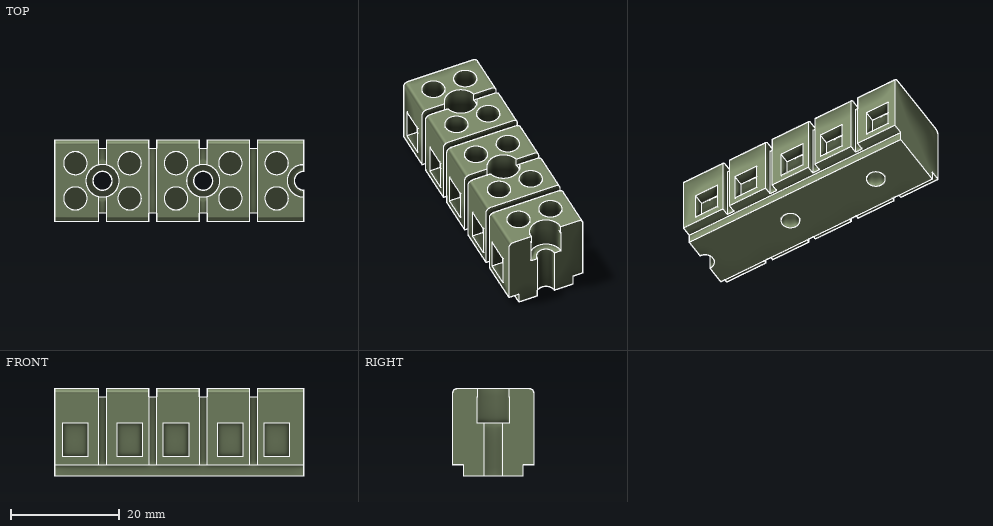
import cadquery as cq
import math

LENGTH = 45.75
WIDTH = 15.0
HEIGHT = 16.1
TOP_EDGE_RADIUS = 0.95

TONGUE_HEIGHT = 2.05
TONGUE_WIDTH = 10.98

POLE_PITCH = 9.25
GROOVE_COUNT = 4
FIRST_BOUNDARY = LENGTH - GROOVE_COUNT * POLE_PITCH
GROOVE_WIDTH = 1.4
GROOVE_DEPTH = 1.55

MOUNT_PITCH = 2 * POLE_PITCH
MOUNT_COUNT = 3
MOUNT_DIAMETER = 3.45
COUNTERBORE_DIAMETER = 6.05

POCKET_WIDTH = 4.7
POCKET_HEIGHT = 6.2
POCKET_BOTTOM = 3.55
POCKET_DEPTH = 2.1

WELL_DIAMETER = 4.25
WELL_SPACING_Y = 6.45
WELL_OFFSET_X = 5.0

BORE_DEPTH = HEIGHT - (POCKET_BOTTOM + POCKET_HEIGHT)

boundary_xs = [FIRST_BOUNDARY + i * POLE_PITCH for i in range(GROOVE_COUNT)]
mount_xs = [FIRST_BOUNDARY + i * MOUNT_PITCH for i in range(MOUNT_COUNT)]
pole_xs = [
    x
    for mount_x in mount_xs
    for x in (mount_x - WELL_OFFSET_X, mount_x + WELL_OFFSET_X)
    if x < LENGTH
]


def box_from(length, width, height, x_center, y_center, z_bottom):
    """Box centred in X and Y whose underside is at z_bottom."""
    return (
        cq.Workplane("XY")
        .box(length, width, height, centered=(True, True, False))
        .translate((x_center, y_center, z_bottom))
    )


def make_body():
    """Block with rounded top edges, standing on its tongue."""
    upper_height = HEIGHT - TONGUE_HEIGHT
    upper = box_from(LENGTH, WIDTH, upper_height, LENGTH / 2, 0, TONGUE_HEIGHT)
    upper = upper.edges("|X and >Z").fillet(TOP_EDGE_RADIUS)
    tongue = box_from(LENGTH, TONGUE_WIDTH, TONGUE_HEIGHT, LENGTH / 2, 0, 0)
    return upper.union(tongue)


def make_groove(x):
    """Arch-shaped cutter that leaves a plain rectangular core."""
    groove_height = HEIGHT - TONGUE_HEIGHT
    core_width = WIDTH - 2 * GROOVE_DEPTH
    core_height = groove_height - GROOVE_DEPTH
    outer = box_from(GROOVE_WIDTH, WIDTH, groove_height, x, 0, TONGUE_HEIGHT)
    core = box_from(GROOVE_WIDTH, core_width, core_height, x, 0, TONGUE_HEIGHT)
    return outer.cut(core)


def bore_from_top(points, diameter, depth):
    """Vertical round cutters reaching down from the top face."""
    return (
        cq.Workplane("XY", origin=(0, 0, HEIGHT))
        .pushPoints(points)
        .circle(diameter / 2)
        .extrude(-depth)
    )


def make_pocket(x, side):
    """Rectangular wire pocket cutter on the +Y (side = 1) or -Y (side = -1) face."""
    y_center = side * (WIDTH - POCKET_DEPTH) / 2
    return box_from(POCKET_WIDTH, POCKET_DEPTH, POCKET_HEIGHT, x, y_center, POCKET_BOTTOM)


def make_end_filler(side):
    """Infill where half a groove would meet the +X counterbore, flat towards the hole."""
    filler_length = GROOVE_WIDTH / 2
    counterbore_radius = COUNTERBORE_DIAMETER / 2
    inner_y = math.sqrt(counterbore_radius**2 - filler_length**2)
    filler_width = counterbore_radius - inner_y
    return box_from(
        filler_length,
        filler_width,
        GROOVE_DEPTH,
        LENGTH - filler_length / 2,
        side * (inner_y + filler_width / 2),
        HEIGHT - GROOVE_DEPTH,
    )


result = make_body()

for boundary_x in boundary_xs:
    result = result.cut(make_groove(boundary_x))

mount_points = [(x, 0) for x in mount_xs]
result = result.cut(bore_from_top(mount_points, MOUNT_DIAMETER, HEIGHT))
result = result.cut(bore_from_top(mount_points, COUNTERBORE_DIAMETER, BORE_DEPTH))

for side in (-1, 1):
    result = result.union(make_end_filler(side))

well_points = [(x, side * WELL_SPACING_Y / 2) for x in pole_xs for side in (-1, 1)]
result = result.cut(bore_from_top(well_points, WELL_DIAMETER, BORE_DEPTH))

for pole_x in pole_xs:
    for side in (-1, 1):
        result = result.cut(make_pocket(pole_x, side))